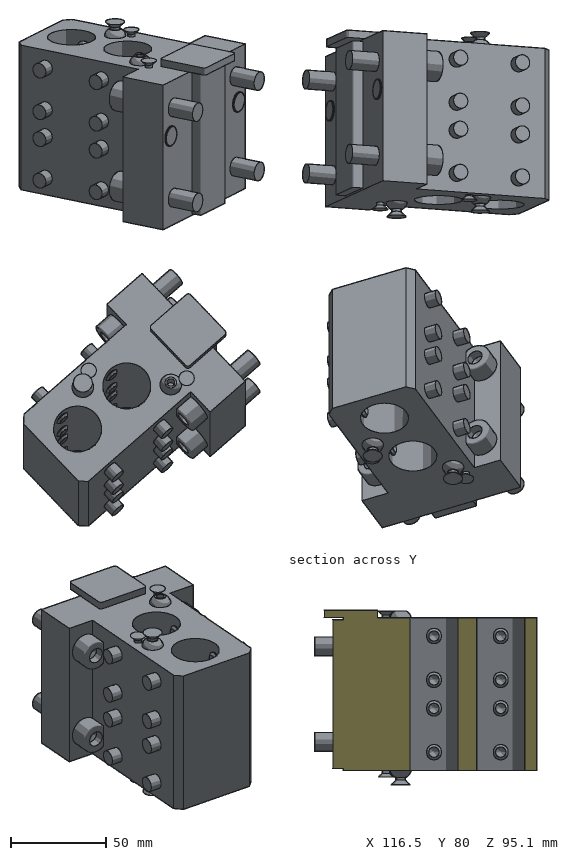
import cadquery as cq
import math


overall_height = 95.1
height = 80.0
block_width = 50.0
block_length = 76.4
front_chamfer = 3.7
flange_width = 80.0
flange_thickness = 25.0
flange_back = block_length + flange_thickness
top_face = height / 2

bore_diameter = 25.0
first_bore_x = 19.0
bore_pitch = 35.0
bore_xs = (first_bore_x, first_bore_x + bore_pitch)

set_screw_diameter = 8.0
set_screw_head_y = 31.2
set_screw_tip_y = 10.7
set_screw_tip_radius = 2.7
cup_depth = 1.5
set_screw_zs = (-30.4, -7.5, 7.5, 30.4)

cap_spacing_y = 60.0
cap_spacing_z = 50.0
cap_head_diameter = 16.0
cap_head_height = 10.0
cap_head_fillet = 0.7
cap_shank_diameter = 10.0
cap_shank_end = 116.5
socket_diameter = 8.2
socket_depth = 5.0
socket_point_angle = 118.0

nozzle_offset = 17.5
nozzle_y = 15.0
nozzle_ball_radius = 5.8
nozzle_ball_depth = 1.4
nozzle_height = 3.6
nozzle_hole_diameter = 4.1
nozzle_hole_depth = 7.0

large_plug_diameter = 10.0
large_plug_neck = 5.1
large_plug_height = (overall_height - height) / 2
small_plug_diameter = 8.0
small_plug_neck = 4.0
small_plug_height = 3.5
short_plug_height = 2.7
small_plug_dx = 7.7
small_plug_dy = 3.8

plate_start = 83.4
plate_length = 28.1
plate_width = 29.9
plate_thickness = 4.0
plate_corner = 1.6
key_height = 78.0
key_width = 24.0
key_thickness = 5.6
key_fillet = 0.8

disc_diameter = 11.0
disc_thickness = 0.8
disc_chamfer = 0.3
disc_y = 33.0
disc_z = 9.9


def make_body():
    block = (
        cq.Workplane("XY")
        .box(flange_back, block_width, height, centered=(False, True, True))
        .edges("|Z and <X")
        .chamfer(front_chamfer)
    )
    flange = (
        cq.Workplane("XY")
        .box(flange_thickness, flange_width, height, centered=(False, True, True))
        .translate((block_length, 0, 0))
    )
    bores = (
        cq.Workplane("XY", origin=(0, 0, -top_face))
        .pushPoints([(x, 0) for x in bore_xs])
        .circle(bore_diameter / 2)
        .extrude(height)
    )
    return block.union(flange).cut(bores)


def revolve_about_z(points):
    """Turn a closed (radius, z) outline about the Z axis."""
    return cq.Workplane("XZ").polyline(points).close().revolve(360, (0, 0), (0, 1))


def make_set_screw():
    """Set screw along Z, with its conical cup at the lower end."""
    radius = set_screw_diameter / 2
    point_length = radius - set_screw_tip_radius
    return revolve_about_z([
        (0, set_screw_tip_y + cup_depth),
        (set_screw_tip_radius, set_screw_tip_y),
        (radius, set_screw_tip_y + point_length),
        (radius, set_screw_head_y),
        (0, set_screw_head_y),
    ])


def make_cap_screw():
    """Socket head screw along X, seated on the front of the flange."""
    head_front = block_length - cap_head_height
    head = (
        cq.Workplane("YZ", origin=(head_front, 0, 0))
        .circle(cap_head_diameter / 2)
        .extrude(cap_head_height)
        .faces("<X")
        .edges()
        .fillet(cap_head_fillet)
    )
    shank = (
        cq.Workplane("YZ", origin=(block_length, 0, 0))
        .circle(cap_shank_diameter / 2)
        .extrude(cap_shank_end - block_length)
    )
    return head.union(shank)


def make_socket():
    """Drilled recess along X, opening at the front of a cap screw head."""
    radius = socket_diameter / 2
    point_depth = radius / math.tan(math.radians(socket_point_angle / 2))
    recess = revolve_about_z([
        (0, 0),
        (radius, 0),
        (radius, socket_depth),
        (0, socket_depth + point_depth),
    ])
    return recess.rotate((0, 0, 0), (0, 1, 0), 90).translate((block_length - cap_head_height, 0, 0))


def make_nozzle():
    """Flat-topped ball segment standing on the top face."""
    slab = cq.Workplane("XY").circle(2 * nozzle_ball_radius).extrude(nozzle_height)
    ball = cq.Workplane("XY").sphere(nozzle_ball_radius).translate((0, 0, -nozzle_ball_depth))
    return ball.intersect(slab).translate((0, 0, top_face))


def make_plug(head_diameter, neck_diameter, plug_height):
    """90 degree countersunk plug standing plug_height above the top face."""
    head_radius = head_diameter / 2
    neck_radius = neck_diameter / 2
    plug = revolve_about_z([
        (0, 0),
        (neck_radius, 0),
        (neck_radius, plug_height - (head_radius - neck_radius)),
        (head_radius, plug_height),
        (0, plug_height),
    ])
    return plug.translate((0, 0, top_face))


def make_stop_plate():
    return (
        cq.Workplane("XY")
        .box(plate_length, plate_width, plate_thickness, centered=(False, True, False))
        .edges("|Z")
        .fillet(plate_corner)
        .translate((plate_start, 0, top_face))
    )


def make_key():
    return (
        cq.Workplane("XY")
        .box(key_thickness, key_width, key_height, centered=(False, True, True))
        .edges("|Z and >X")
        .fillet(key_fillet)
        .translate((flange_back, 0, 0))
    )


def make_discs():
    return (
        cq.Workplane("YZ", origin=(flange_back, 0, 0))
        .pushPoints([(-disc_y, disc_z), (disc_y, disc_z)])
        .circle(disc_diameter / 2)
        .extrude(disc_thickness)
        .faces(">X")
        .edges()
        .chamfer(disc_chamfer)
    )


result = make_body().union(make_stop_plate()).union(make_key()).union(make_discs())

set_screw = make_set_screw()
for side_angle in (90, -90):
    side_screw = set_screw.rotate((0, 0, 0), (1, 0, 0), side_angle)
    for x in bore_xs:
        for z in set_screw_zs:
            result = result.union(side_screw.translate((x, 0, z)))

cap_screw = make_cap_screw()
socket = make_socket()
for y in (-cap_spacing_y / 2, cap_spacing_y / 2):
    for z in (-cap_spacing_z / 2, cap_spacing_z / 2):
        result = result.union(cap_screw.translate((0, y, z))).cut(socket.translate((0, y, z)))

nozzle = make_nozzle()
large_plug = make_plug(large_plug_diameter, large_plug_neck, large_plug_height)
small_plug = make_plug(small_plug_diameter, small_plug_neck, small_plug_height)
short_plug = make_plug(small_plug_diameter, small_plug_neck, short_plug_height)
plugged_nozzle = nozzle.union(large_plug)
nozzle_hole = (
    cq.Workplane("XY", origin=(0, 0, top_face + nozzle_height))
    .circle(nozzle_hole_diameter / 2)
    .extrude(-nozzle_hole_depth)
)

for bore_x, side, top_nozzle, bottom_plug in (
    (bore_xs[0], 1, plugged_nozzle, short_plug),
    (bore_xs[1], -1, nozzle, small_plug),
):
    nozzle_place = (bore_x + nozzle_offset, side * nozzle_y, 0)
    plug_place = (nozzle_place[0] + small_plug_dx, side * (nozzle_y + small_plug_dy), 0)
    result = (
        result.union(top_nozzle.translate(nozzle_place))
        .union(plugged_nozzle.mirror("XY").translate(nozzle_place))
        .union(small_plug.translate(plug_place))
        .union(bottom_plug.mirror("XY").translate(plug_place))
    )

result = result.cut(nozzle_hole.translate((bore_xs[1] + nozzle_offset, -nozzle_y, 0)))